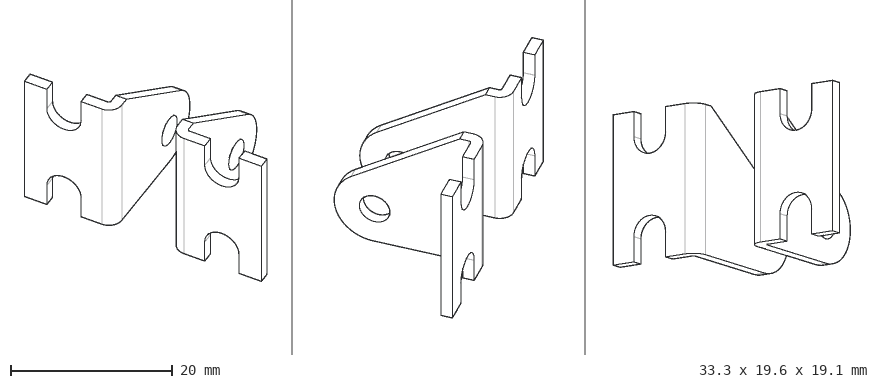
import cadquery as cq
import math

total_width = 33.27
depth = 19.55
height = 19.05
flange_width = 12.7
thickness = 1.53

inner_bend_radius = 0.3
outer_bend_radius = inner_bend_radius + thickness

slot_radius = 2.4
slot_depth = 5.6
slot_edge_distance = 5.55

tip_radius = 5.12
top_edge_length = 3.05
tip_y = depth - tip_radius
hole_y = 14.25
hole_radius = 2.0
hole_height = 5.1

inner_face_x = total_width / 2 - flange_width


def bent_sheet():
    """L-shaped sheet: flange along X, ear along Y, with a rounded bend."""
    outer_x = total_width / 2
    sheet = (
        cq.Workplane("XY")
        .moveTo(inner_face_x, 0)
        .lineTo(outer_x, 0)
        .lineTo(outer_x, thickness)
        .lineTo(inner_face_x + thickness, thickness)
        .lineTo(inner_face_x + thickness, depth)
        .lineTo(inner_face_x, depth)
        .close()
        .extrude(height)
    )
    outer_corner = cq.selectors.NearestToPointSelector((inner_face_x, 0, height / 2))
    inner_corner = cq.selectors.NearestToPointSelector(
        (inner_face_x + thickness, thickness, height / 2)
    )
    sheet = sheet.edges(outer_corner).fillet(outer_bend_radius)
    return sheet.edges(inner_corner).fillet(inner_bend_radius)


def ear_outline():
    """Side profile of the ear, as a prism across the whole bracket in X."""
    run = tip_y - top_edge_length
    rise = height - tip_radius
    corner_angle = math.atan2(rise, -run)
    tangent_angle = corner_angle - math.acos(tip_radius / math.hypot(run, rise))

    def on_tip(angle):
        return (
            tip_y + tip_radius * math.cos(angle),
            tip_radius + tip_radius * math.sin(angle),
        )

    return (
        cq.Workplane("YZ")
        .moveTo(0, 0)
        .lineTo(tip_y, 0)
        .threePointArc(on_tip(0), on_tip(tangent_angle))
        .lineTo(top_edge_length, height)
        .lineTo(0, height)
        .close()
        .extrude(total_width / 2)
    )


def pivot_hole():
    return (
        cq.Workplane("YZ")
        .center(hole_y, hole_height)
        .circle(hole_radius)
        .extrude(total_width / 2)
    )


def flange_slots():
    """Round-bottomed slots open at the top and bottom of the flange."""
    slot_x = total_width / 2 - slot_edge_distance
    straight_depth = slot_depth - slot_radius
    lower_slot = (
        cq.Workplane("XZ")
        .moveTo(slot_x - slot_radius, 0)
        .lineTo(slot_x + slot_radius, 0)
        .lineTo(slot_x + slot_radius, straight_depth)
        .threePointArc((slot_x, slot_depth), (slot_x - slot_radius, straight_depth))
        .close()
        .extrude(-thickness)
    )
    upper_slot = lower_slot.mirror("XY", (0, 0, height / 2))
    return lower_slot.union(upper_slot)


def make_bracket(side):
    """One bracket: side +1 lies on +X, side -1 is its mirror image on -X."""
    bracket = bent_sheet().intersect(ear_outline()).cut(pivot_hole()).cut(flange_slots())
    if side < 0:
        bracket = bracket.mirror("YZ")
    return bracket


brackets = [make_bracket(side) for side in (-1, 1)]

result = cq.Compound.makeCompound([bracket.val() for bracket in brackets])